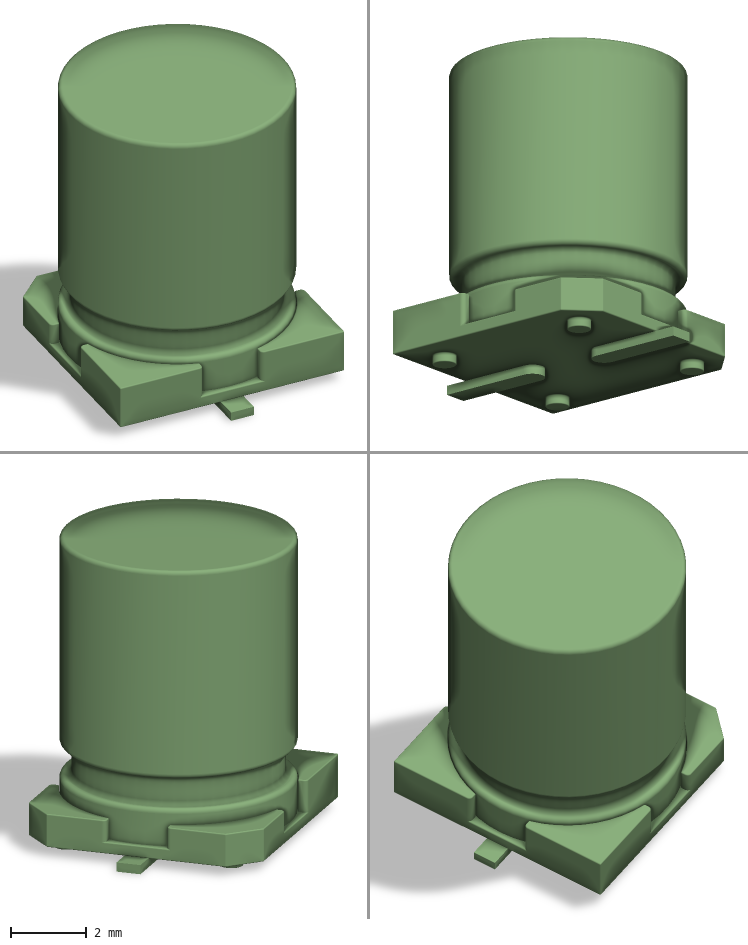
import cadquery as cq
import math

height = 8.2
lead_span = 7.8
base_width = 6.6

can_dia = 6.3
neck_dia = 5.67
can_top_round = 0.115
groove_bottom_z = 1.6
groove_top_z = 2.435
groove_round = 0.13

base_bottom_z = 0.255
notch_floor_z = 0.57
low_post_z = 1.17
high_post_z = 1.47
corner_chamfer = 0.79
notch_width = 1.705
notch_corner_round = 0.115
bore_clearance = 0.02
edge_round = 0.03

lead_width = 0.67
lead_inner_gap = 1.8
foot_dia = 0.63
foot_spacing = 4.64
foot_round = 0.025

base_half = base_width / 2
can_radius = can_dia / 2
neck_radius = neck_dia / 2
bore_radius = can_radius + bore_clearance
notch_half = notch_width / 2


def make_can():
    """Revolved can with a rounded rim and a round-edged groove near its foot."""
    r = groove_round
    arc_mid = r * (1 - math.sqrt(0.5))
    profile = (
        cq.Workplane("XZ")
        .moveTo(0, notch_floor_z)
        .lineTo(can_radius, notch_floor_z)
        .lineTo(can_radius, groove_bottom_z - r)
        .threePointArc((can_radius - arc_mid, groove_bottom_z - arc_mid), (can_radius - r, groove_bottom_z))
        .lineTo(neck_radius + r, groove_bottom_z)
        .threePointArc((neck_radius + arc_mid, groove_bottom_z + arc_mid), (neck_radius, groove_bottom_z + r))
        .lineTo(neck_radius, groove_top_z - r)
        .threePointArc((neck_radius + arc_mid, groove_top_z - arc_mid), (neck_radius + r, groove_top_z))
        .lineTo(can_radius - r, groove_top_z)
        .threePointArc((can_radius - arc_mid, groove_top_z + arc_mid), (can_radius, groove_top_z + r))
        .lineTo(can_radius, height)
        .lineTo(0, height)
        .close()
    )
    can = profile.revolve(360, (0, 0, 0), (0, 1, 0))
    return can.faces(">Z").edges().fillet(can_top_round)


def base_block(bottom_z, top_z):
    """Square block with chamfered -X corners and softened upright edges."""
    block = (
        cq.Workplane("XY")
        .workplane(offset=bottom_z)
        .rect(base_width, base_width)
        .extrude(top_z - bottom_z)
    )
    block = block.edges("|Z and <X").chamfer(corner_chamfer)
    return block.edges("|Z").fillet(edge_round)


def make_plate():
    """Floor plate of the base, with all its edges softened."""
    return base_block(base_bottom_z, notch_floor_z).faces("|Z").edges().fillet(edge_round)


def make_post(side_x, side_y, top_z):
    """Corner post between two notches, hollowed around the can."""
    bottom_z = (base_bottom_z + notch_floor_z) / 2
    quadrant_center = notch_half + base_half / 2
    quadrant = (
        cq.Workplane("XY")
        .workplane(offset=bottom_z)
        .center(side_x * quadrant_center, side_y * quadrant_center)
        .rect(base_half, base_half)
        .extrude(height)
    )
    bore = cq.Workplane("XY").workplane(offset=bottom_z).circle(bore_radius).extrude(height)
    post = base_block(bottom_z, top_z).intersect(quadrant).cut(bore)

    bore_reach = math.sqrt(bore_radius**2 - notch_half**2)
    mid_z = (bottom_z + top_z) / 2
    for reach, radius in ((base_half, notch_corner_round), (bore_reach, edge_round)):
        for x, y in ((notch_half, reach), (reach, notch_half)):
            notch_corner = cq.NearestToPointSelector((side_x * x, side_y * y, mid_z))
            post = post.edges("|Z").edges(notch_corner).fillet(radius)
    return post.faces(">Z").edges().fillet(edge_round)


def make_lead(side_x):
    """Flat lead reaching out along X, with a full-round inner end."""
    half = lead_width / 2
    inner = lead_inner_gap / 2
    return (
        cq.Workplane("XY")
        .moveTo(side_x * lead_span / 2, -half)
        .lineTo(side_x * (inner + half), -half)
        .threePointArc((side_x * inner, 0), (side_x * (inner + half), half))
        .lineTo(side_x * lead_span / 2, half)
        .close()
        .extrude(base_bottom_z)
    )


def add_feet(base):
    """Four round feet with a rounded tip and a small fillet where they meet the base."""
    feet = (
        cq.Workplane("XY")
        .rect(foot_spacing, foot_spacing, forConstruction=True)
        .vertices()
        .circle(foot_dia / 2)
        .extrude(base_bottom_z)
    )
    tip_and_root = cq.selectors.BoxSelector(
        (-base_half, -base_half, -foot_round),
        (base_half, base_half, base_bottom_z + foot_round),
    )
    round_edges = base.union(feet).edges("%CIRCLE").edges(tip_and_root)
    return round_edges.edges(cq.selectors.RadiusNthSelector(-1)).fillet(foot_round)


result = add_feet(make_plate()).union(make_can())
for side_x, post_top_z in ((-1, low_post_z), (1, high_post_z)):
    for side_y in (-1, 1):
        result = result.union(make_post(side_x, side_y, post_top_z))
    result = result.union(make_lead(side_x))